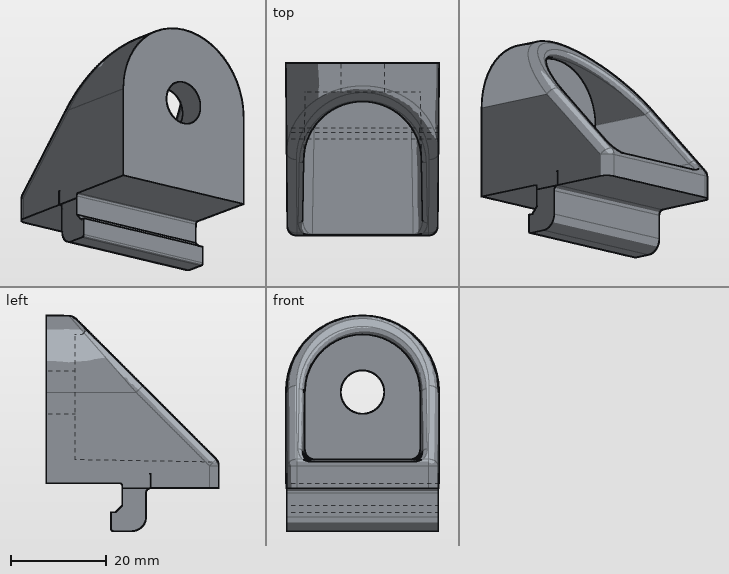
import cadquery as cq
import math

arch_radius = 16.0
body_depth = 36.0
body_draft = 0.5
back_bottom_z = -19.0
nose_bottom_z = -20.0
slope_start_depth = 5.5
slope_sum = arch_radius + slope_start_depth
nose_top_z = slope_sum - body_depth
outer_rim_radius = 2.0
hole_diameter = 9.0
tolerance = 1e-3

pocket_back_depth = 6.0
pocket_radius = 12.0
pocket_draft = 1.0
pocket_floor_z = -14.0
pocket_floor_radius = 2.0
inner_rim_radius = 1.0

hook_back_depth = 15.85
hook_thickness = 5.0
hook_front_depth = hook_back_depth + hook_thickness
hook_tip_depth = 13.5
hook_bottom_z = -29.0
hook_tip_top_z = -25.0
hook_root_z = -17.0
hook_chamfer = 1.4
hook_heel_radius = 3.0
hook_tip_radius = 0.5
back_root_radius = 0.5
front_root_radius = 1.0
hook_root_depth = hook_front_depth + front_root_radius

flush_setback = 0.25
flush_depth = hook_root_depth - flush_setback
hook_half_width = arch_radius - flush_depth * math.tan(math.radians(body_draft))


def arch_outline(plane, radius, bottom_z):
    """Round-topped outline centred on the hole axis."""
    return (
        plane.moveTo(-radius, bottom_z)
        .lineTo(-radius, 0)
        .threePointArc((0, radius), (radius, 0))
        .lineTo(radius, bottom_z)
        .close()
    )


def on_slope(edge):
    """True for an edge that lies in the 45 degree slope."""
    points = [edge.positionAt(t) for t in (0, 0.5, 1)]
    return all(abs(p.z - p.y - slope_sum) < tolerance for p in points)


def lies_within(edge, half_width):
    """True for an edge that stays closer than half_width to the plane X = 0."""
    box = edge.BoundingBox()
    return -half_width < box.xmin and box.xmax < half_width


def make_body():
    block = arch_outline(cq.Workplane("XZ"), arch_radius, hook_bottom_z).extrude(body_depth, taper=body_draft)
    side_outline = (
        cq.Workplane("YZ")
        .moveTo(0, back_bottom_z)
        .lineTo(0, arch_radius)
        .lineTo(-slope_start_depth, arch_radius)
        .lineTo(-body_depth, nose_top_z)
        .lineTo(-body_depth, nose_bottom_z)
        .lineTo(-hook_back_depth, nose_bottom_z)
        .lineTo(-hook_back_depth, back_bottom_z)
        .close()
    )
    body = block.intersect(side_outline.extrude(arch_radius, both=True))
    rim_edges = [edge for edge in body.edges().vals() if on_slope(edge)]
    nose_corners = body.faces("<Y").edges("|Z").vals()
    body = body.newObject(rim_edges + nose_corners).fillet(outer_rim_radius)
    step_corner = body.edges(cq.selectors.NearestToPointSelector((0, -hook_back_depth, back_bottom_z)))
    return step_corner.fillet(back_root_radius)


def make_pocket():
    length = body_depth + outer_rim_radius - pocket_back_depth
    growth = length * math.tan(math.radians(pocket_draft))
    back_plane = cq.Workplane("XZ", origin=(0, -pocket_back_depth, 0))
    back_outline = arch_outline(back_plane, pocket_radius, pocket_floor_z)
    front_plane = back_outline.workplane(offset=length)
    front_outline = arch_outline(front_plane, pocket_radius + growth, pocket_floor_z - growth)
    pocket = front_outline.loft(ruled=True)
    return pocket.faces("<Z").edges("not |X").fillet(pocket_floor_radius)


def make_pocketed_wedge():
    """Oversized wedge under the slope, holding the pocket with its rounded mouth."""
    wedge_outline = (
        cq.Workplane("YZ")
        .moveTo(0, hook_bottom_z)
        .lineTo(0, slope_sum)
        .lineTo(hook_bottom_z - slope_sum, hook_bottom_z)
        .close()
    )
    wedge = wedge_outline.extrude(2 * arch_radius, both=True).cut(make_pocket())
    mouth_edges = [
        edge for edge in wedge.edges().vals() if on_slope(edge) and lies_within(edge, arch_radius)
    ]
    return wedge.newObject(mouth_edges).fillet(inner_rim_radius)


def make_hole():
    return cq.Workplane("XZ").circle(hole_diameter / 2).extrude(body_depth)


def make_hook():
    diagonal = math.sqrt(0.5)
    root_arc_y = -hook_root_depth + front_root_radius * diagonal
    root_arc_z = nose_bottom_z - front_root_radius * (1 - diagonal)
    outline = (
        cq.Workplane("YZ")
        .moveTo(-hook_back_depth, hook_root_z)
        .lineTo(-hook_back_depth, hook_tip_top_z + hook_chamfer)
        .lineTo(-hook_back_depth + hook_chamfer, hook_tip_top_z)
        .lineTo(-hook_tip_depth, hook_tip_top_z)
        .lineTo(-hook_tip_depth, hook_bottom_z)
        .lineTo(-hook_front_depth, hook_bottom_z)
        .lineTo(-hook_front_depth, nose_bottom_z - front_root_radius)
        .threePointArc((root_arc_y, root_arc_z), (-hook_root_depth, nose_bottom_z))
        .lineTo(-hook_root_depth, hook_root_z)
        .close()
    )
    hook = outline.extrude(hook_half_width, both=True)
    hook = hook.faces("<Z").edges("<Y").fillet(hook_heel_radius)
    return hook.faces("<Z").edges(">Y").fillet(hook_tip_radius)


result = make_body().intersect(make_pocketed_wedge()).cut(make_hole()).union(make_hook())